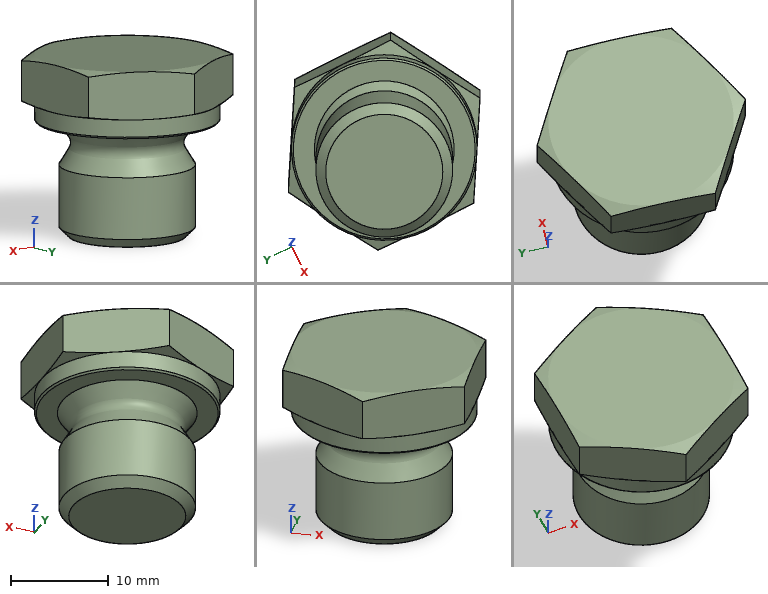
import cadquery as cq
import math

across_corners = 21.95
across_flats = across_corners * math.cos(math.radians(30))
total_height = across_flats
hex_height = 5.0
collar_height = 2.0
collar_chamfer = 0.2
corner_bevel_angle = 15.0

shank_radius = 14.0 / 2
end_chamfer = 1.0
shank_top = 7.45
neck_bottom = 9.17
neck_top = 10.4
neck_bottom_radius = 5.95
neck_radius = 5.81
neck_top_radius = 6.0
undercut_top_radius = 7.15

collar_radius = across_flats / 2
collar_top = total_height - hex_height
collar_bottom = collar_top - collar_height


def hex_head():
    """Hexagon with corners on Y, its corners bevelled by cones above and below."""
    prism = (
        cq.Workplane("XY")
        .workplane(offset=collar_top)
        .polygon(6, across_corners)
        .extrude(hex_height)
        .rotate((0, 0, 0), (0, 0, 1), 30)
    )
    corner_radius = across_corners / 2
    bevel_drop = (corner_radius - collar_radius) * math.tan(math.radians(corner_bevel_angle))
    envelope = (
        cq.Workplane("XZ")
        .moveTo(0, collar_top)
        .lineTo(collar_radius, collar_top)
        .lineTo(corner_radius, collar_top + bevel_drop)
        .lineTo(corner_radius, total_height - bevel_drop)
        .lineTo(collar_radius, total_height)
        .lineTo(0, total_height)
        .close()
        .revolve(360, (0, 0, 0), (0, 1, 0))
    )
    return prism.intersect(envelope)


def collar_and_shank():
    """Turned body: chamfered shank, rounded undercut and sealing collar."""
    neck_middle = (neck_bottom + neck_top) / 2
    return (
        cq.Workplane("XZ")
        .lineTo(shank_radius - end_chamfer, 0)
        .lineTo(shank_radius, end_chamfer)
        .lineTo(shank_radius, shank_top)
        .lineTo(neck_bottom_radius, neck_bottom)
        .threePointArc((neck_radius, neck_middle), (neck_top_radius, neck_top))
        .lineTo(undercut_top_radius, collar_bottom)
        .lineTo(collar_radius - collar_chamfer, collar_bottom)
        .lineTo(collar_radius, collar_bottom + collar_chamfer)
        .lineTo(collar_radius, collar_top)
        .lineTo(0, collar_top)
        .close()
        .revolve(360, (0, 0, 0), (0, 1, 0))
    )


result = collar_and_shank().union(hex_head())